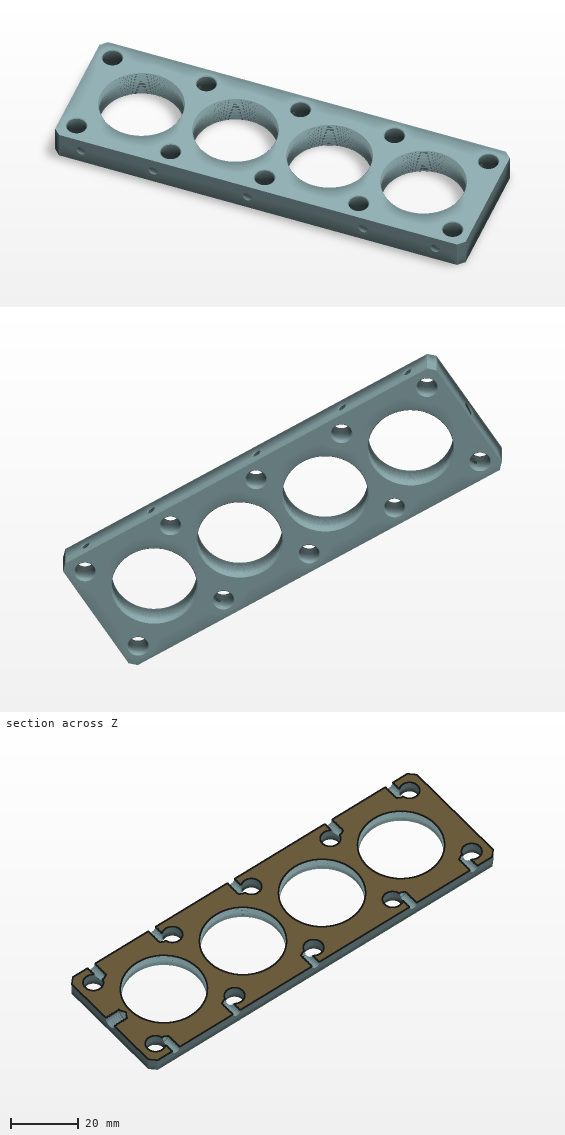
import cadquery as cq
import math

LENGTH = 131.0
WIDTH = 41.0
THICKNESS = 8.8
CORNER_CHAMFER = 2.0

PITCH = 30.0
BORE_COUNT = 4
ROD_ROWS_Y = (-PITCH / 2, PITCH / 2)

BORE_MINOR_DIAMETER = 25.4
BORE_MAJOR_DIAMETER = 25.9
BORE_THREAD_PITCH = 0.635

ROD_HOLE_DIAMETER = 6.0
ROD_HOLE_CHAMFER = 0.25

CLAMP_MINOR_DIAMETER = 2.2
CLAMP_MAJOR_DIAMETER = 2.85
CLAMP_THREAD_PITCH = 0.635
CLAMP_OFFSET = 3.5
CLAMP_POSITIONS_X = (
    -2 * PITCH + CLAMP_OFFSET,
    -PITCH - CLAMP_OFFSET,
    -CLAMP_OFFSET,
    PITCH + CLAMP_OFFSET,
    2 * PITCH - CLAMP_OFFSET,
)
CLAMP_DEPTH = WIDTH / 2 - PITCH / 2

MOUNT_MINOR_DIAMETER = 3.4
MOUNT_MAJOR_DIAMETER = 4.2
MOUNT_THREAD_PITCH = 0.8
MOUNT_DEPTH = 5.0

DRILL_POINT_ANGLE = 118.0

BORE_POSITIONS_X = [(i - (BORE_COUNT - 1) / 2) * PITCH for i in range(BORE_COUNT)]
ROD_POSITIONS_X = [(i - BORE_COUNT / 2) * PITCH for i in range(BORE_COUNT + 1)]


def thread_cutter(minor_diameter, major_diameter, thread_pitch, length, drill_point=False):
    """Solid of revolution along +Z from the origin: a V-ridged thread without lead.

    With a drill point, a cone of the minor diameter follows beyond the far end.
    """
    minor_radius = minor_diameter / 2
    major_radius = major_diameter / 2
    ridge_count = round(length / thread_pitch)
    pitch = length / ridge_count
    profile = cq.Workplane("XZ").lineTo(major_radius, 0)
    for i in range(ridge_count):
        profile = profile.lineTo(minor_radius, (i + 0.5) * pitch)
        profile = profile.lineTo(major_radius, (i + 1) * pitch)
    tip = length
    if drill_point:
        profile = profile.lineTo(minor_radius, length)
        tip += minor_radius / math.tan(math.radians(DRILL_POINT_ANGLE / 2))
    return profile.lineTo(0, tip).close().revolve(360, (0, 0, 0), (0, 1, 0))


def make_plate():
    plate = cq.Workplane("XY").box(LENGTH, WIDTH, THICKNESS)
    return plate.edges("|Z").chamfer(CORNER_CHAMFER)


def cut_optic_bores(plate):
    cutter = thread_cutter(BORE_MINOR_DIAMETER, BORE_MAJOR_DIAMETER, BORE_THREAD_PITCH, THICKNESS)
    for x in BORE_POSITIONS_X:
        plate = plate.cut(cutter.translate((x, 0, -THICKNESS / 2)), clean=False)
    return plate


def cut_rod_holes(plate):
    radius = ROD_HOLE_DIAMETER / 2
    half = THICKNESS / 2
    cutter = (
        cq.Workplane("XZ")
        .moveTo(0, -half)
        .lineTo(radius + ROD_HOLE_CHAMFER, -half)
        .lineTo(radius, -half + ROD_HOLE_CHAMFER)
        .lineTo(radius, half - ROD_HOLE_CHAMFER)
        .lineTo(radius + ROD_HOLE_CHAMFER, half)
        .lineTo(0, half)
        .close()
        .revolve(360, (0, 0, 0), (0, 1, 0))
    )
    for x in ROD_POSITIONS_X:
        for y in ROD_ROWS_Y:
            plate = plate.cut(cutter.translate((x, y, 0)), clean=False)
    return plate


def cut_clamp_holes(plate):
    cutter = thread_cutter(
        CLAMP_MINOR_DIAMETER,
        CLAMP_MAJOR_DIAMETER,
        CLAMP_THREAD_PITCH,
        CLAMP_DEPTH,
        drill_point=True,
    )
    front_cutter = cutter.rotate((0, 0, 0), (1, 0, 0), -90).translate((0, -WIDTH / 2, 0))
    back_cutter = front_cutter.mirror("XZ")
    for x in CLAMP_POSITIONS_X:
        plate = plate.cut(front_cutter.translate((x, 0, 0)), clean=False)
        plate = plate.cut(back_cutter.translate((x, 0, 0)), clean=False)
    return plate


def cut_mount_hole(plate):
    cutter = thread_cutter(
        MOUNT_MINOR_DIAMETER,
        MOUNT_MAJOR_DIAMETER,
        MOUNT_THREAD_PITCH,
        MOUNT_DEPTH,
        drill_point=True,
    )
    cutter = cutter.rotate((0, 0, 0), (0, 1, 0), 90)
    return plate.cut(cutter.translate((-LENGTH / 2, 0, 0)), clean=False)


result = make_plate()
result = cut_optic_bores(result)
result = cut_mount_hole(result)
result = cut_clamp_holes(result)
result = cut_rod_holes(result)